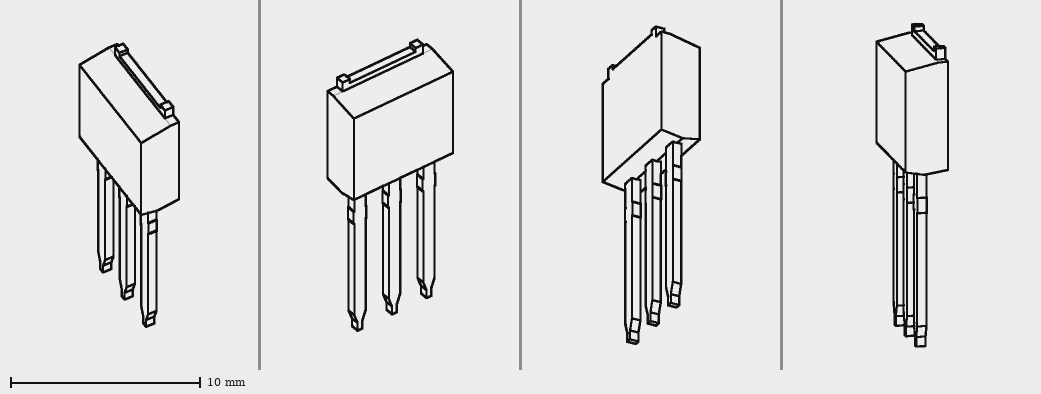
import cadquery as cq

overall_height = 16.26

body_width = 6.58
body_depth = 2.31
tab_height = 0.60
body_top_z = overall_height - tab_height
front_top_drop = 0.39
body_height = 6.09
body_bottom_z = body_top_z - body_height
ridge_offset = 1.275
underside_rise = 0.19

lead_top_z = body_bottom_z + underside_rise
lead_count = 3
lead_pitch = 2.286
lead_width = 0.76
lead_thickness = 0.51
lead_back_y = lead_thickness / 2 - ridge_offset
collar_width = 0.84
collar_bottom_z = 7.34
collar_height = 0.83
tip_width = 0.32
tip_height = 0.53
taper_top_z = 1.16

tab_thickness = 0.51
tab_width = 5.33
prong_width = 0.49
notch_width = tab_width - 2 * prong_width
notch_depth = 0.25


def make_body():
    """Constant side profile extruded across the width."""
    edge_bottom_z = body_bottom_z + underside_rise
    profile = [
        (0, edge_bottom_z),
        (0, body_top_z),
        (-tab_thickness, body_top_z),
        (-body_depth, body_top_z - front_top_drop),
        (-body_depth, edge_bottom_z),
        (-ridge_offset, body_bottom_z),
    ]
    return cq.Workplane("YZ").polyline(profile).close().extrude(body_width / 2, both=True)


def make_tab():
    """Plate along the back edge of the top, notched to leave two prongs."""
    plate = (
        cq.Workplane("XY", origin=(0, -tab_thickness / 2, body_top_z))
        .rect(tab_width, tab_thickness)
        .extrude(tab_height)
    )
    notch = (
        cq.Workplane("XY", origin=(0, -tab_thickness / 2, overall_height - notch_depth))
        .rect(notch_width, tab_thickness)
        .extrude(notch_depth)
    )
    return plate.cut(notch)


def make_lead(center_x):
    """Flat lead with a tapered tip and a collar below the body."""
    half_width = lead_width / 2
    half_tip = tip_width / 2
    outline = [
        (-half_tip, 0),
        (half_tip, 0),
        (half_tip, tip_height),
        (half_width, taper_top_z),
        (half_width, lead_top_z),
        (-half_width, lead_top_z),
        (-half_width, taper_top_z),
        (-half_tip, tip_height),
    ]
    plane = cq.Workplane("XZ", origin=(center_x, lead_back_y, 0))
    shank = plane.polyline(outline).close().extrude(lead_thickness)
    collar = (
        plane.center(0, collar_bottom_z + collar_height / 2)
        .rect(collar_width, collar_height)
        .extrude(lead_thickness)
    )
    return shank.union(collar)


result = make_body().union(make_tab())
for index in range(lead_count):
    lead_x = (index - (lead_count - 1) / 2) * lead_pitch
    result = result.union(make_lead(lead_x))